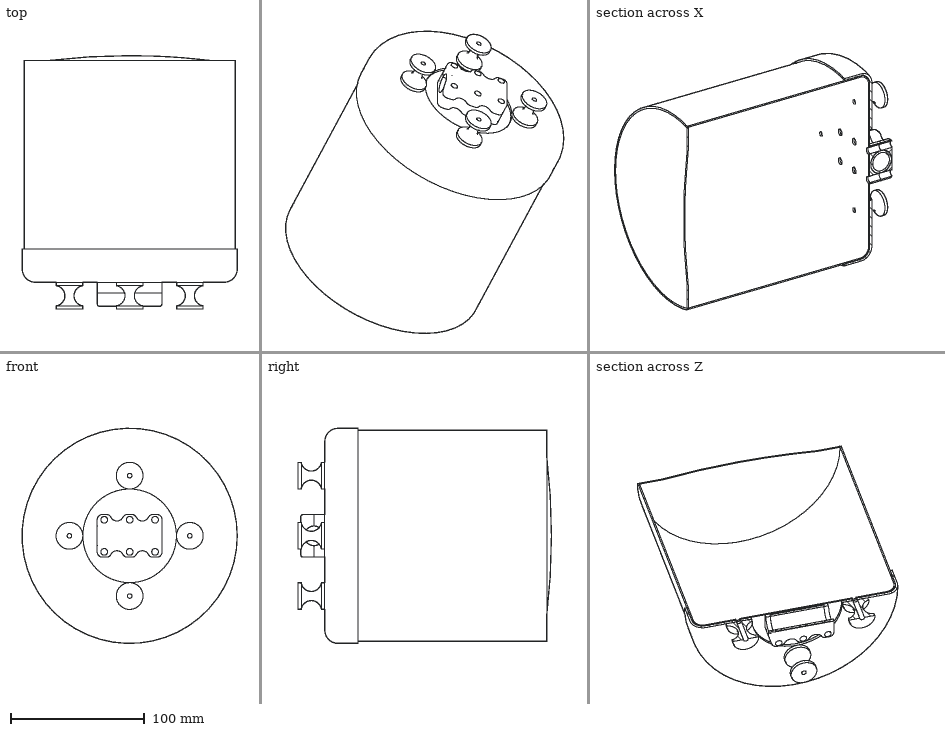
import cadquery as cq
import math


can_radius = 79.0
can_end = 166.0
can_wall = 1.5
cap_wall = 1.5
cap_face = 2.0
cap_radius = can_radius + cap_wall
can_inner_radius = can_radius - can_wall
cap_length = 25.0
cap_corner_radius = 10.0
cap_opening_radius = 35.0

overall_length = 189.57
lid_wall = 1.5
dome_rim_radius = 60.0

foot_length = 20.0
foot_radius = 10.0
foot_flange = 2.5
foot_neck_radius = 3.5
foot_hole_diameter = 3.4
foot_circle_radius = 45.0

lid_end = overall_length - foot_length
dome_rise = lid_end - can_end

clamp_length = 48.5
clamp_depth = 20.0
clamp_edge_radius = 2.0
lobe_radius = 4.0
lobe_flat = 3.0
valley_radius = 5.0
bolt_diameter = 5.0
bolt_pitch_x = 19.0
bolt_pitch_z = 24.0
bore_diameter = 14.5
sleeve_outer_diameter = 18.0
clamp_lip = 3.5

clamp_width = bolt_pitch_z + 2 * lobe_radius
clamp_base = cap_face
clamp_split = clamp_base - clamp_depth / 2
clamp_front = clamp_base - clamp_depth

foot_places = [
    (foot_circle_radius, 0),
    (0, foot_circle_radius),
    (-foot_circle_radius, 0),
    (0, -foot_circle_radius),
]
bolt_places = [(i * bolt_pitch_x, k * bolt_pitch_z / 2) for i in (-1, 0, 1) for k in (-1, 1)]


def cylinders_along_y(places, diameter, start, end):
    """Round bars along Y at the given (x, z) places."""
    plane = cq.Workplane("XZ", origin=(0, start, 0))
    return plane.pushPoints(places).circle(diameter / 2).extrude(start - end)


def drum(radius, start, end, corner_radius):
    """Solid cylinder along Y with its edge at the start rounded."""
    body = cylinders_along_y([(0, 0)], 2 * radius, start, end)
    return body.faces("<Y").edges().fillet(corner_radius)


def service_holes():
    """Holes through the feet and the clamp, continued through the cap and the can floor."""
    depth = cap_face + can_wall
    feet = cylinders_along_y(foot_places, foot_hole_diameter, -foot_length, depth)
    bolts = cylinders_along_y(bolt_places, bolt_diameter, clamp_front, depth)
    return feet.union(bolts)


def make_can():
    """Thin round can, closed at the cap end and open at the lid end."""
    corner_radius = cap_corner_radius - cap_wall
    outside = drum(can_radius, cap_face, can_end, corner_radius)
    inside = drum(can_inner_radius, cap_face + can_wall, can_end, corner_radius - can_wall)
    return outside.cut(inside).cut(service_holes())


def make_cap():
    """Cap that slips over the can, with a round opening around the clamp."""
    outside = drum(cap_radius, 0, cap_length, cap_corner_radius)
    inside = drum(can_radius, cap_face, cap_length, cap_corner_radius - cap_wall)
    opening = cylinders_along_y([(0, 0)], 2 * cap_opening_radius, 0, cap_face)
    return outside.cut(inside).cut(opening).cut(service_holes())


def make_lid():
    """Thin plate inside the can, flush with its rim and bulged into a shallow spherical dome."""
    dome_radius = (dome_rim_radius**2 + dome_rise**2) / (2 * dome_rise)
    mid_radius = dome_rim_radius / 2
    mid_end = lid_end - dome_radius + math.sqrt(dome_radius**2 - mid_radius**2)
    plate_back = can_end - lid_wall
    return (
        cq.Workplane("XY")
        .moveTo(0, lid_end)
        .threePointArc((mid_radius, mid_end), (dome_rim_radius, can_end))
        .lineTo(can_inner_radius, can_end)
        .lineTo(can_inner_radius, plate_back)
        .lineTo(dome_rim_radius, plate_back)
        .threePointArc((mid_radius, mid_end - lid_wall), (0, lid_end - lid_wall))
        .close()
        .revolve(360, (0, 0, 0), (0, 1, 0))
    )


def make_foot():
    """Spool with two flanges and a waisted neck, centred on the Y axis."""
    half = foot_length / 2
    arc_length = half - foot_flange
    arc_rise = foot_radius - foot_neck_radius
    arc_radius = (arc_length**2 + arc_rise**2) / (2 * arc_rise)
    half_angle = math.asin(arc_length / arc_radius) / 2
    mid_offset = arc_radius * math.sin(half_angle)
    mid_radius = foot_neck_radius + arc_radius * (1 - math.cos(half_angle))
    hole_radius = foot_hole_diameter / 2
    return (
        cq.Workplane("XY")
        .moveTo(hole_radius, 0)
        .lineTo(foot_radius, 0)
        .lineTo(foot_radius, -foot_flange)
        .threePointArc((mid_radius, mid_offset - half), (foot_neck_radius, -half))
        .threePointArc((mid_radius, -mid_offset - half), (foot_radius, foot_flange - foot_length))
        .lineTo(foot_radius, -foot_length)
        .lineTo(hole_radius, -foot_length)
        .close()
        .revolve(360, (0, 0, 0), (0, 1, 0))
    )


def clamp_outline():
    """Block with a round-bottomed valley between neighbouring bolts on both long sides."""
    half_width = clamp_width / 2
    block = (
        cq.Workplane("XZ", origin=(0, clamp_base, 0))
        .rect(clamp_length, clamp_width)
        .extrude(clamp_depth)
        .edges("|Y")
        .fillet(lobe_radius)
    )
    arc_sum = lobe_radius + valley_radius
    spread = (bolt_pitch_x - lobe_flat) / 2
    centre_drop = math.sqrt(arc_sum**2 - spread**2)
    valley_depth = arc_sum - centre_drop
    tilt = math.atan2(spread, centre_drop)
    lobe_z = half_width - lobe_radius
    valley_z = half_width - valley_depth + valley_radius
    meet_x = valley_radius * math.sin(tilt)
    meet_z = valley_z - valley_radius * math.cos(tilt)
    crest_x = spread - lobe_radius * math.sin(tilt / 2)
    crest_z = lobe_z + lobe_radius * math.cos(tilt / 2)
    for side in (-1, 1):
        for x in (-bolt_pitch_x / 2, bolt_pitch_x / 2):
            valley = (
                cq.Workplane("XZ", origin=(x, clamp_base, 0))
                .moveTo(-spread, side * half_width)
                .threePointArc((-crest_x, side * crest_z), (-meet_x, side * meet_z))
                .threePointArc((0, side * (half_width - valley_depth)), (meet_x, side * meet_z))
                .threePointArc((crest_x, side * crest_z), (spread, side * half_width))
                .close()
                .extrude(clamp_depth)
            )
            block = block.cut(valley)
    return block


def bar_along_x(diameter, length):
    """Round bar along X, centred in the parting plane of the clamp."""
    plane = cq.Workplane("YZ", origin=(0, clamp_split, 0))
    return plane.circle(diameter / 2).extrude(length / 2, both=True)


def make_clamp_halves():
    """Clamp parted at mid-depth, with end lips that hold the sleeve in its bore."""
    block = clamp_outline().faces("<Y").edges().fillet(clamp_edge_radius)
    block = block.cut(bar_along_x(bore_diameter, clamp_length))
    block = block.cut(bar_along_x(sleeve_outer_diameter, clamp_length - 2 * clamp_lip))
    block = block.cut(service_holes())
    half_space = cq.Workplane("XY").box(clamp_length, clamp_depth, clamp_width)
    base = block.intersect(half_space.translate((0, clamp_split + clamp_depth / 2, 0)))
    cover = block.intersect(half_space.translate((0, clamp_split - clamp_depth / 2, 0)))
    return base, cover


def make_sleeve():
    """Tube held in the clamp, flush with the bore of the end lips."""
    length = clamp_length - 2 * clamp_lip
    return bar_along_x(sleeve_outer_diameter, length).cut(bar_along_x(bore_diameter, length))


can = make_can()
cap = make_cap()
lid = make_lid()
foot = make_foot()
feet = [foot.translate((x, 0, z)) for x, z in foot_places]
clamp_base_half, clamp_cover_half = make_clamp_halves()
sleeve = make_sleeve()

result = cq.Compound.makeCompound(
    [
        can.val(),
        cap.val(),
        lid.val(),
        *[each_foot.val() for each_foot in feet],
        clamp_base_half.val(),
        clamp_cover_half.val(),
        sleeve.val(),
    ]
)